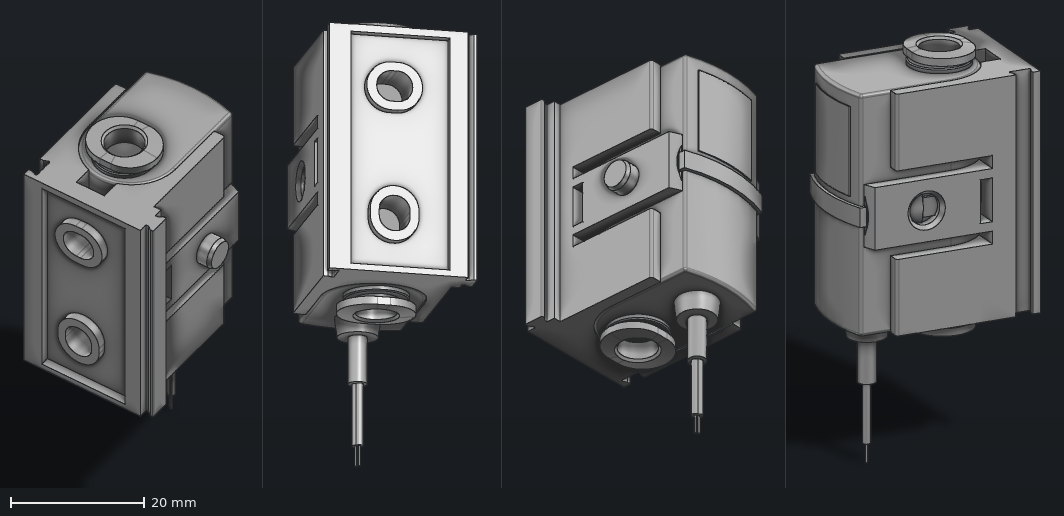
import cadquery as cq
import math


height = 38.5
mid_z = height / 2
bore_radius = 8.0
bore_y = 13.95
band_height = 3.1
band_rise = 0.6

half_width = 10.0
wall_end_y = 24.0
wall_end_fillet = 0.45
foot_x = 11.3
foot_y = 5.4
dovetail_y = 2.7
dovetail_length = 1.7
dovetail_head_half = 1.75
dovetail_flare = 0.7
dovetail_fillet = 0.2
tongue_neck_half = 1.2
tongue_neck_length = 0.45
groove_neck_half = 1.4
groove_neck_length = 0.7
arm_height = 9.95
arm_tip_y = 27.6
arm_shoulder_y = 28.5
slot_span = 14.1
slot_root_y = 8.0
window_length = 2.0
window_height = 7.0
button_y = 19.0
button_diameter = 5.0
button_length = 2.6
button_chamfer_length = 0.7
button_chamfer_width = 0.25
arm_hole_diameter = 5.0
arm_hole_mouth = 6.2
arm_hole_mouth_depth = 0.65
recess_x = (-6.7, 8.5)
recess_z = (1.0, 37.35)
recess_depth = 1.5
notch_width = 5.1
notch_y = 3.1

crown_y = 30.35
crown_radius = 24.3
edge_fillet = 0.5
pad_height = 6.2
pad_rise = 0.85
pad_radius = (pad_height**2 / 4 + pad_rise**2) / (2 * pad_rise)
pad_end_y = 28.3
label_rise = 0.2
label_width = 11.6
label_z = (21.85, 36.1)
port_z = (9.3, 29.2)
port_turn = (90, 0)
port_outer_diameter = 7.5
port_outer_straight = 1.1
port_inner_diameter = 4.8
port_inner_straight = 0.8
port_depth = 7.0
fitting_y = 12.0
collar_diameter = 10.0
collar_height = 0.8
collar_chamfer = 0.2
neck_diameter = 7.0
top_neck_reach = 1.5
bottom_neck_reach = 1.75
flange_height = 1.5
flange_length = 12.0
flange_width = 10.0
flange_slope_height = 0.25
fitting_bore = 6.2
fitting_mouth = 7.0
fitting_bore_depth = 3.3
cable_y = 24.1
boot_top_diameter = 7.0
boot_end_diameter = 6.2
boot_length = 3.05
cable_diameter = 2.9
cable_end_z = -10.35
wire_diameter = 1.2
wire_end_z = -20.0
strand_diameter = 0.3
strand_end_z = height + top_neck_reach + flange_height - 64.6
wire_offset = (-0.225, 0.16)


def block(x, y, z):
    """Box between the limits given along each axis."""
    size = (x[1] - x[0], y[1] - y[0], z[1] - z[0])
    return cq.Workplane("XY").box(*size, centered=False).translate((x[0], y[0], z[0]))


def around_middle(length):
    """Height limits of a feature centred on the housing."""
    return (mid_z - length / 2, mid_z + length / 2)


def bar_along(origin, direction, length, diameter):
    """Cylinder that starts at origin."""
    return cq.Workplane(
        cq.Solid.makeCylinder(diameter / 2, length, cq.Vector(*origin), cq.Vector(*direction))
    )


def rod(y, start_z, end_z, diameter, x=0):
    """Upright cylinder."""
    return bar_along((x, y, start_z), (0, 0, 1), end_z - start_z, diameter)


def cone_along(origin, direction, length, start_diameter, end_diameter):
    """Truncated cone that starts at origin."""
    return cq.Workplane(
        cq.Solid.makeCone(
            start_diameter / 2, end_diameter / 2, length, cq.Vector(*origin), cq.Vector(*direction)
        )
    )


def cartridge_prism(rise, z):
    """U-shaped section with a crowned end, grown outward by rise."""
    side = bore_radius + rise
    radius = crown_radius + rise
    crown = crown_y + rise
    shoulder = crown - radius + math.sqrt(radius**2 - side**2)
    return (
        cq.Workplane("XY", origin=(0, 0, z[0]))
        .moveTo(side, bore_y)
        .lineTo(side, shoulder)
        .threePointArc((0, crown), (-side, shoulder))
        .lineTo(-side, bore_y)
        .threePointArc((0, bore_y - side), (side, bore_y))
        .close()
        .extrude(z[1] - z[0])
    )


def side_pads():
    """Rounded pads on both flanks, behind the arms."""
    pads = block(
        (-bore_radius - pad_rise, bore_radius + pad_rise), (button_y, pad_end_y), around_middle(pad_height)
    )
    shape = cq.Workplane("XY")
    axis_x = bore_radius + pad_rise - pad_radius
    for side in (-1, 1):
        barrel = (
            cq.Workplane("XZ", origin=(side * axis_x, 0, mid_z))
            .circle(pad_radius)
            .extrude(-arm_shoulder_y)
        )
        shape = shape.add(pads.intersect(barrel))
    return shape.combine()


def port_obround(index, diameter, straight, end_y):
    """Obround bar of one port, from the mounting face inward."""
    return (
        cq.Workplane("XZ", origin=(0, 0, port_z[index]))
        .slot2D(diameter + straight, diameter, port_turn[index])
        .extrude(-end_y)
    )


def port_stub(index):
    return port_obround(index, port_outer_diameter, port_outer_straight, bore_y)


def port_hole(index):
    return port_obround(index, port_inner_diameter, port_inner_straight, port_depth)



def dovetail(root_x, neck_half, neck_length):
    """Bar that widens toward +X from its root."""
    flare_x = root_x + neck_length
    head_x = flare_x + dovetail_flare
    tip_x = root_x + dovetail_length
    upper = [
        (root_x, neck_half),
        (flare_x, neck_half),
        (head_x, dovetail_head_half),
        (tip_x, dovetail_head_half),
    ]
    lower = [(x, -y) for x, y in reversed(upper)]
    bar = cq.Workplane("XY").polyline(upper + lower).close().extrude(height)
    bar = bar.faces(">X").edges("|Z").fillet(dovetail_fillet)
    return bar.translate((0, dovetail_y, 0))


def bracket_shell():
    """Walls and foot, with a dovetail tongue on one side and its groove on the other."""
    walls = block((-half_width, half_width), (0, wall_end_y), (0, height))
    walls = walls.edges("|Z and >Y").fillet(wall_end_fillet)
    foot = block((0, foot_x), (0, foot_y), (0, height))
    tongue = dovetail(foot_x, tongue_neck_half, tongue_neck_length)
    groove = dovetail(-half_width, groove_neck_half, groove_neck_length)
    return walls.union(foot).union(tongue).cut(groove)


def arm_slots():
    """Gaps that free the snap arms from the walls."""
    side = (-half_width, half_width)
    gap = block(side, (slot_root_y, arm_shoulder_y), around_middle(slot_span))
    arms = block(side, (0, arm_shoulder_y), around_middle(arm_height))
    return gap.cut(arms)


def arm_ends():
    """Tips of both snap arms, sloping out from the cartridge."""
    outline = [
        (-half_width, button_y),
        (half_width, button_y),
        (half_width, arm_tip_y),
        (bore_radius, arm_shoulder_y),
        (-bore_radius, arm_shoulder_y),
        (-half_width, arm_tip_y),
    ]
    bottom = mid_z - arm_height / 2
    return cq.Workplane("XY", origin=(0, 0, bottom)).polyline(outline).close().extrude(arm_height)


def arm_hole():
    """Hole through one arm, with a tapered mouth."""
    origin = (-half_width, button_y, mid_z)
    bore = bar_along(origin, (1, 0, 0), half_width, arm_hole_diameter)
    mouth = cone_along(origin, (1, 0, 0), arm_hole_mouth_depth, arm_hole_mouth, arm_hole_diameter)
    return bore.union(mouth)


def arm_button():
    """Pin on the other arm that fits the hole of a neighbouring part."""
    straight = button_length - button_chamfer_length
    tip_diameter = button_diameter - 2 * button_chamfer_width
    shank = bar_along((half_width, button_y, mid_z), (1, 0, 0), straight, button_diameter)
    tip_origin = (half_width + straight, button_y, mid_z)
    tip = cone_along(tip_origin, (1, 0, 0), button_chamfer_length, button_diameter, tip_diameter)
    return shank.union(tip)


def make_bracket():
    windows = block(
        (-half_width, half_width), (slot_root_y, slot_root_y + window_length), around_middle(window_height)
    )
    recess = block(recess_x, (0, recess_depth), recess_z)
    notch = block((-notch_width / 2, notch_width / 2), (notch_y, bore_y), (port_z[1], height))
    body = bracket_shell().union(arm_ends()).cut(arm_slots()).union(arm_button())
    for cutter in (windows, recess, notch, arm_hole()):
        body = body.cut(cutter)
    body = body.cut(cartridge_prism(0, (0, height)))
    body = body.cut(cartridge_prism(band_rise, around_middle(band_height)))
    body = body.cut(side_pads())
    for index in range(len(port_z)):
        body = body.cut(port_stub(index))
    return body



def cartridge_core():
    """Rounded body with its band, label plate and snap pads."""
    core = cartridge_prism(0, (0, height))
    core = core.edges("|Z").edges(">Y").fillet(edge_fillet)
    core = core.faces(">Z or <Z").edges().fillet(edge_fillet)
    band = cartridge_prism(band_rise, around_middle(band_height))
    label_area = block((-label_width / 2, label_width / 2), (bore_y, crown_y + label_rise), label_z)
    label = cartridge_prism(label_rise, label_z).intersect(label_area)
    return core.union(band).union(label).union(side_pads())


def fitting(neck_reach):
    """Collar, neck and obround flange of the upper push-in fitting."""
    base_z = height - edge_fillet
    flange_z = height + neck_reach
    collar = rod(fitting_y, base_z, height + collar_height, collar_diameter)
    collar = collar.faces(">Z").edges().chamfer(collar_chamfer)
    neck = rod(fitting_y, base_z, flange_z, neck_diameter)
    flange = (
        cq.Workplane("XY", origin=(0, fitting_y, flange_z))
        .slot2D(flange_length, flange_width)
        .extrude(flange_height - flange_slope_height)
    )
    slope = (
        flange.faces(">Z")
        .workplane(origin=(0, fitting_y, 0))
        .slot2D(flange_length, flange_width)
        .workplane(offset=flange_slope_height)
        .circle(fitting_mouth / 2)
        .loft(combine=False)
    )
    return collar.union(neck).union(flange).union(slope)


def fitting_hole(neck_reach):
    """Blind bore of the upper fitting, with a countersunk mouth."""
    top_z = height + neck_reach + flange_height
    bore = rod(fitting_y, top_z - fitting_bore_depth, top_z, fitting_bore)
    mouth_depth = (fitting_mouth - fitting_bore) / 2
    mouth = cone_along((0, fitting_y, top_z), (0, 0, -1), mouth_depth, fitting_mouth, fitting_bore)
    return bore.union(mouth)


def at_both_ends(make_feature):
    """The feature on top of the housing and its counterpart underneath."""
    bottom = make_feature(bottom_neck_reach).mirror("XY", (0, 0, mid_z))
    return make_feature(top_neck_reach).union(bottom)


def cable():
    """Strain-relief boot, cable sheath and two stripped wires."""
    shape = cone_along((0, cable_y, 0), (0, 0, -1), boot_length, boot_top_diameter, boot_end_diameter)
    shape = shape.union(rod(cable_y, cable_end_z, 0, cable_diameter))
    for side in (-1, 1):
        x = side * wire_offset[0]
        y = cable_y + side * wire_offset[1]
        shape = shape.union(rod(y, wire_end_z, cable_end_z, wire_diameter, x))
        shape = shape.union(rod(y, strand_end_z, wire_end_z, strand_diameter, x))
    return shape


def make_cartridge():
    body = cartridge_core().union(at_both_ends(fitting)).union(cable())
    for index in range(len(port_z)):
        body = body.union(port_stub(index)).cut(port_hole(index))
    return body.cut(at_both_ends(fitting_hole))


bracket = make_bracket()
cartridge = make_cartridge()

result = cq.Compound.makeCompound([bracket.val(), cartridge.val()])